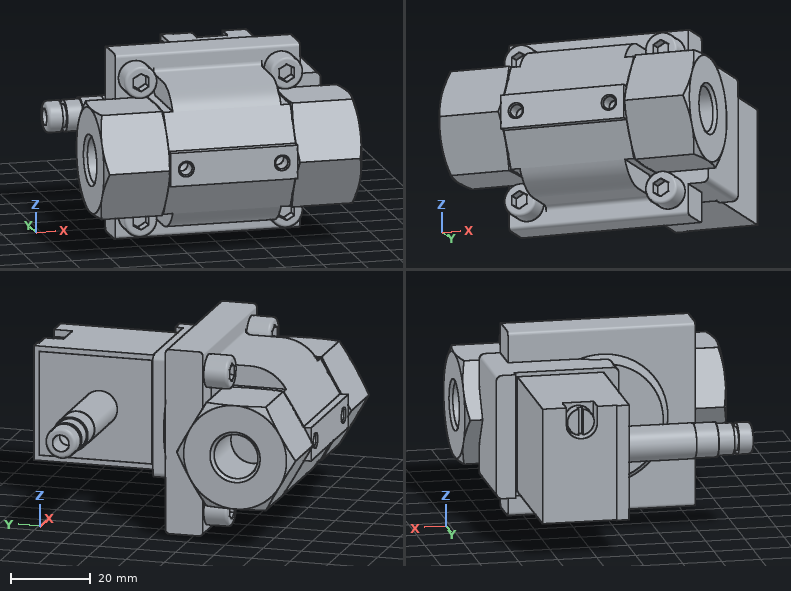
import cadquery as cq
import math


total_length = 67.0
total_depth = 78.6
nut_flats = 26.95
nut_length = 17.05
nut_corner_radius = nut_flats / math.sqrt(3)
nut_outer_bevel = 0.95
nut_inner_bevel = 0.5
bore_diameter = 11.5
bore_mouth_diameter = 13.1
bore_depth = 15.7

body_length = total_length - 2 * nut_length
body_flats = 26.4
body_fillet = 2.05
bulge_length = 28.1
bulge_half_height = 18.55
bulge_radius = 10.85
bulge_fillet = 1.3

pad_height = 8.65
pad_front = -14.85
pad_hole_spacing = 24.9
pad_hole_diameter = 3.2
pad_hole_mouth = 4.0
pad_hole_depth = 4.7

flange_size = 48.0
flange_front = 11.2
flange_thickness = 9.8
flange_back = flange_front + flange_thickness
flange_fillet = 1.0
screw_spacing_x = 37.9
screw_spacing_z = 35.8
screw_head_diameter = 8.5
screw_head_height = 6.1
screw_head_fillet = 0.8
screw_socket_flats = 4.0
screw_socket_depth = 3.15

cover_base_radius = 17.0
cover_top_radius = 15.2
cover_height = 3.1

pilot_left = -2.4
pilot_right = 29.4
pilot_height = 32.1
pilot_back = 30.7
pilot_fillet = 1.5
lip_left = 24.4
lip_rise = 2.05

coil_left = 1.5
coil_right = 23.6
coil_height = 29.9
coil_full_back = total_depth - nut_corner_radius
coil_back_step = 0.5
coil_back = coil_full_back - coil_back_step
coil_rim_length = 3.15
panel_border = 1.4
panel_recess = 0.1

notch_width = 7.9
notch_depth = 4.9
slot_screw_x = 13.5
slot_screw_z = 10.7
slot_screw_diameter = 6.8
slot_screw_height = 3.5
slot_width = 1.2
slot_depth = 1.6

stem_y = 45.75
stem_end = -33.25
stem_groove_start = -29.5
stem_groove_end = -28.3
stem_collar_end = -24.2
stem_sleeve_end = -18.5
stem_tip_diameter = 8.1
stem_groove_diameter = 6.0
stem_sleeve_diameter = 8.9
stem_diameter = 9.0
stem_tip_fillet = 0.95
stem_hole_diameter = 4.3
stem_hole_depth = 6.3

drill_cone_slope = math.tan(math.radians(30))


def box(x_range, y_range, z_range):
    """Box spanning the given (low, high) ranges."""
    lows, highs = zip(x_range, y_range, z_range)
    sizes = [high - low for low, high in zip(lows, highs)]
    return cq.Workplane("XY").box(*sizes, centered=False).translate(lows)


def along_x(profile, length):
    """Extrude a YZ outline along X, centred on the origin."""
    return profile.extrude(length / 2, both=True)


def hexagon(flats):
    """Hexagon in YZ with corners on the Y axis."""
    return cq.Workplane("YZ").polygon(6, 2 * flats / math.sqrt(3))


def turned(points):
    """Solid of revolution about X from (station, radius) points; closes along the axis."""
    outline = [(points[0][0], 0)] + points
    last_station, last_radius = points[-1]
    if last_radius > 0:
        outline.append((last_station, 0))
    return cq.Workplane("XY").polyline(outline).close().revolve(360, (0, 0, 0), (1, 0, 0))


def drill(diameter, depth):
    """Drill shape along +X from the origin, with a conical tip beyond the depth."""
    radius = diameter / 2
    return turned([(0, radius), (depth, radius), (depth + radius * drill_cone_slope, 0)])


def make_nut():
    """Right-hand hexagon nut with bevelled corners and a blind bore."""
    inner = body_length / 2
    outer = total_length / 2
    flat_radius = nut_flats / 2
    nut = hexagon(nut_flats).extrude(nut_length).translate((inner, 0, 0))
    bevels = turned([
        (inner, flat_radius),
        (inner + nut_inner_bevel, nut_corner_radius),
        (outer - nut_outer_bevel, nut_corner_radius),
        (outer, flat_radius),
    ])
    mouth_bevel = (bore_mouth_diameter - bore_diameter) / 2
    bore = turned([
        (outer - bore_depth, bore_diameter / 2),
        (outer - mouth_bevel, bore_diameter / 2),
        (outer, bore_mouth_diameter / 2),
    ])
    return nut.intersect(bevels).cut(bore)


def flared_block(half_height, front, fillet, length):
    """Block from the front station to the flange, flaring into it with concave fillets."""
    start = flange_front - fillet
    wide = half_height + fillet
    profile = (
        cq.Workplane("YZ")
        .moveTo(front, -half_height)
        .lineTo(start, -half_height)
        .radiusArc((flange_front, -wide), fillet)
        .lineTo(flange_front, wide)
        .radiusArc((start, half_height), fillet)
        .lineTo(front, half_height)
        .close()
    )
    return along_x(profile, length)


def make_bulge():
    """Wider middle stretch of the body, rounded down to the front corners of the hexagon."""
    hex_corner_z = body_flats / 2
    hex_corner_y = -hex_corner_z / math.sqrt(3)
    drop = bulge_half_height - hex_corner_z
    tangent_y = hex_corner_y + math.sqrt(2 * bulge_radius * drop - drop ** 2)
    rounding = (
        cq.Workplane("YZ")
        .moveTo(hex_corner_y, -hex_corner_z)
        .radiusArc((tangent_y, -bulge_half_height), -bulge_radius)
        .lineTo(tangent_y, bulge_half_height)
        .radiusArc((hex_corner_y, hex_corner_z), -bulge_radius)
        .close()
    )
    straight = flared_block(bulge_half_height, tangent_y, bulge_fillet, bulge_length)
    return along_x(rounding, bulge_length).union(straight)


def make_pad_holes():
    mouth_depth = (pad_hole_mouth - pad_hole_diameter) / 2
    mouth = turned([(0, pad_hole_mouth / 2), (mouth_depth, pad_hole_diameter / 2)])
    hole = drill(pad_hole_diameter, pad_hole_depth).union(mouth).rotate((0, 0, 0), (0, 0, 1), 90)
    left = hole.translate((-pad_hole_spacing / 2, pad_front, 0))
    right = hole.translate((pad_hole_spacing / 2, pad_front, 0))
    return left.union(right)


def make_body():
    """Hexagon bar whose front corner is squared into a flat pad with two blind holes."""
    half_height = pad_height / 2
    half_length = body_length / 2
    x_range = (-half_length, half_length)
    pad = box(x_range, (pad_front, 0), (-half_height, half_height))
    front_corner = box(x_range, (-nut_corner_radius, pad_front), (-half_height, half_height))
    bar = along_x(hexagon(body_flats), body_length)
    return bar.cut(front_corner).union(pad).cut(make_pad_holes())


def make_flange():
    half = flange_size / 2
    plate = box((-half, half), (flange_front, flange_back), (-half, half))
    return plate.edges("|X").fillet(flange_fillet)


def make_cap_screws():
    """Four socket head screws on the front of the flange."""
    socket_corners = 2 * screw_socket_flats / math.sqrt(3)
    head = (
        cq.Workplane("XZ")
        .circle(screw_head_diameter / 2)
        .extrude(screw_head_height)
        .faces("<Y").edges().fillet(screw_head_fillet)
    )
    socket = (
        cq.Workplane("XZ")
        .polygon(6, socket_corners)
        .extrude(screw_socket_depth)
        .rotate((0, 0, 0), (0, 1, 0), 90)
        .translate((0, screw_socket_depth - screw_head_height, 0))
    )
    screw = head.cut(socket).translate((0, flange_front, 0))
    screws = cq.Workplane("XY")
    for x in (-screw_spacing_x / 2, screw_spacing_x / 2):
        for z in (-screw_spacing_z / 2, screw_spacing_z / 2):
            screws = screws.add(screw.translate((x, 0, z)))
    return screws.combine()


def make_cover():
    cone = turned([(flange_back, cover_base_radius), (flange_back + cover_height, cover_top_radius)])
    return cone.rotate((0, 0, 0), (0, 0, 1), 90)


def make_pilot():
    """Block on the back of the flange, with a raised lip at its right end."""
    z_range = (-pilot_height / 2, pilot_height / 2)
    block = box((pilot_left, pilot_right), (flange_front, pilot_back), z_range)
    lip = box((lip_left, pilot_right), (flange_front, pilot_back + lip_rise), z_range)
    return block.union(lip).edges("|Y and (<X or >X)").fillet(pilot_fillet)


def make_coil():
    """Connector block with a raised back rim and a shallow recessed panel on its left side."""
    half = coil_height / 2
    panel_half = half - panel_border
    block = box((coil_left, coil_right), (pilot_back, coil_back), (-half, half))
    rim = box((coil_left, coil_left + coil_rim_length), (pilot_back, coil_full_back), (-half, half))
    panel = box(
        (coil_left, coil_left + panel_recess),
        (pilot_back + panel_border, coil_full_back - panel_border),
        (-panel_half, panel_half),
    )
    return block.union(rim).cut(panel)


def make_notch():
    """Round-bottomed notch that opens to the back and the top of the connector block."""
    floor_y = coil_back - notch_depth
    half_width = notch_width / 2
    round_end = (
        cq.Workplane("XZ", origin=(slot_screw_x, floor_y, slot_screw_z))
        .circle(half_width)
        .extrude(-notch_depth)
    )
    opening = box(
        (slot_screw_x - half_width, slot_screw_x + half_width),
        (floor_y, coil_back),
        (slot_screw_z, coil_height / 2),
    )
    return round_end.union(opening)


def make_slot_screw():
    floor_y = coil_back - notch_depth
    top_y = floor_y + slot_screw_height
    radius = slot_screw_diameter / 2
    head = (
        cq.Workplane("XZ", origin=(slot_screw_x, floor_y, slot_screw_z))
        .circle(radius)
        .extrude(-slot_screw_height)
    )
    slot = box(
        (slot_screw_x - slot_width / 2, slot_screw_x + slot_width / 2),
        (top_y - slot_depth, top_y),
        (slot_screw_z - radius, slot_screw_z + radius),
    )
    return head.cut(slot)


def make_stem():
    """Stepped cable stem with a rounded tip, a groove and a blind end hole."""
    steps = [
        (stem_groove_start, stem_tip_diameter),
        (stem_groove_end, stem_groove_diameter),
        (stem_collar_end, stem_tip_diameter),
        (stem_sleeve_end, stem_sleeve_diameter),
        (coil_left + panel_recess, stem_diameter),
    ]
    points = []
    start = stem_end
    for end, diameter in steps:
        points += [(start, diameter / 2), (end, diameter / 2)]
        start = end
    stem = turned(points).faces("<X").edges().fillet(stem_tip_fillet)
    hole = drill(stem_hole_diameter, stem_hole_depth).translate((stem_end, 0, 0))
    return stem.cut(hole).translate((0, stem_y, 0))


nut = make_nut()
coil = make_coil().cut(make_notch()).union(make_slot_screw())

result = (
    make_body()
    .union(make_bulge())
    .union(flared_block(body_flats / 2, 0, body_fillet, body_length))
    .union(nut)
    .union(nut.mirror("YZ"))
    .union(make_flange())
    .union(make_cap_screws())
    .union(make_cover())
    .union(make_pilot())
    .union(coil)
    .union(make_stem())
)